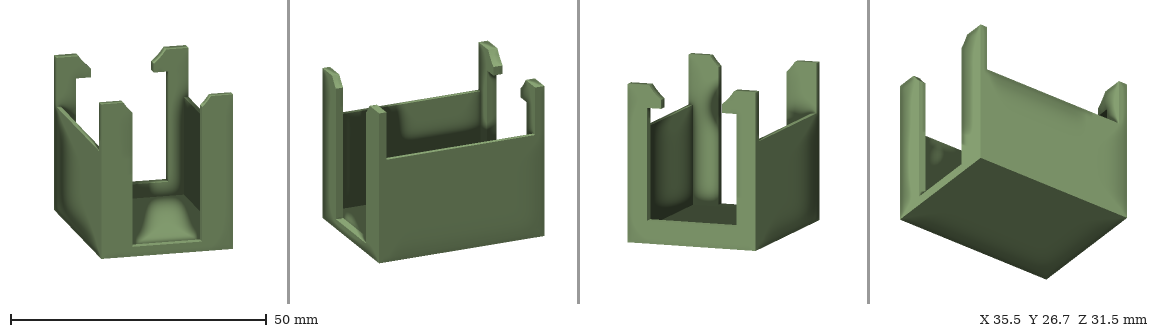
import cadquery as cq

length = 35.5
width = 26.73
height = 31.5

side_wall = 0.9
floor_thickness = 1.65
side_wall_height = 21.5

left_frame_thickness = 2.0
right_frame_thickness = 1.55
left_post_width = 4.0
right_post_width = 6.3
left_sill_height = 4.5
right_sill_height = 2.0

land_width = 4.5
hook_reach = 7.0
hook_bottom = 26.98
tip_top = 28.75
lead_in_sag = 0.15

half_width = width / 2
land_y = half_width - land_width
tip_y = half_width - hook_reach


def lead_in_midpoint():
    """Middle of the lead-in arc, set into the post from its chord."""
    run = land_y - tip_y
    drop = height - tip_top
    chord = (run**2 + drop**2) ** 0.5
    y = (land_y + tip_y) / 2 + lead_in_sag * drop / chord
    z = (height + tip_top) / 2 - lead_in_sag * run / chord
    return y, z


def make_hooked_post():
    """Post on the +Y side of the left frame, with an inward hook at its top."""
    jamb_y = half_width - left_post_width
    return (
        cq.Workplane("YZ")
        .moveTo(half_width, 0)
        .lineTo(half_width, height)
        .lineTo(land_y, height)
        .threePointArc(lead_in_midpoint(), (tip_y, tip_top))
        .lineTo(tip_y, hook_bottom)
        .lineTo(jamb_y, hook_bottom)
        .lineTo(jamb_y, 0)
        .close()
        .extrude(left_frame_thickness)
    )


def make_plain_post():
    """Post on the +Y side of the right frame: the same lead-in, cut off at its jamb."""
    jamb_y = half_width - right_post_width
    blank = (
        cq.Workplane("YZ")
        .moveTo(half_width, 0)
        .lineTo(half_width, height)
        .lineTo(land_y, height)
        .threePointArc(lead_in_midpoint(), (tip_y, tip_top))
        .lineTo(tip_y, 0)
        .close()
        .extrude(right_frame_thickness)
    )
    keep = cq.Workplane("XY").box(
        right_frame_thickness, right_post_width, height, centered=False
    ).translate((0, jamb_y, 0))
    return blank.intersect(keep).translate((length - right_frame_thickness, 0, 0))


def make_slab(slab_length, slab_width, slab_height):
    """Block starting at X = 0 and Z = 0, centred on Y."""
    return cq.Workplane("XY").box(
        slab_length, slab_width, slab_height, centered=(False, True, False)
    )


floor = make_slab(length, width, floor_thickness)
left_sill = make_slab(left_frame_thickness, width, left_sill_height)
right_sill = make_slab(right_frame_thickness, width, right_sill_height).translate(
    (length - right_frame_thickness, 0, 0)
)
wall = cq.Workplane("XY").box(
    length, side_wall, side_wall_height, centered=False
).translate((0, half_width - side_wall, 0))

result = floor.union(left_sill).union(right_sill)
for piece in (wall, make_hooked_post(), make_plain_post()):
    result = result.union(piece).union(piece.mirror("XZ"))